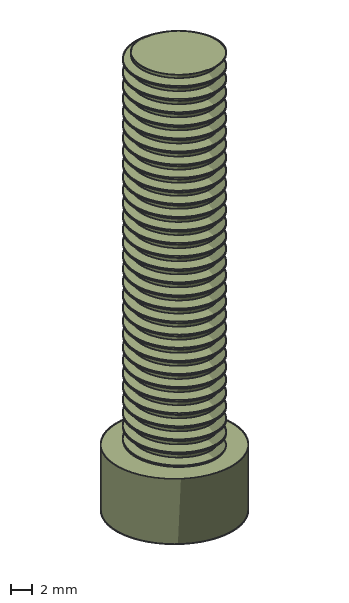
import cadquery as cq
import math

head_height = 6.83
head_diameter = 2 * head_height
thread_length = 6 * head_height
thread_pitch = head_height / 5
thread_diameter = 7 * thread_pitch

flank_angle = 30
crest_width = thread_pitch / 8
root_width = thread_pitch / 4
crest_radius = thread_diameter / 2
base_width = thread_pitch - root_width
thread_depth = (base_width - crest_width) / 2 / math.tan(math.radians(flank_angle))
root_radius = crest_radius - thread_depth

first_crest_height = thread_pitch / 8

ridge_overlap = 0.05 * thread_pitch

buried_turns = 1
overrun_turns = 2

total_height = head_height + thread_length


def make_head():
    return cq.Workplane("XY").circle(head_diameter / 2).extrude(head_height)


def make_core():
    return cq.Workplane("XY").circle(root_radius).extrude(total_height)


def make_ridge():
    """Helical ridge that starts inside the head and is cut flush with the tip."""
    start_height = head_height + first_crest_height - buried_turns * thread_pitch
    helix_height = thread_length + (buried_turns + overrun_turns) * thread_pitch
    inner_radius = root_radius - ridge_overlap
    inner_width = base_width + 2 * ridge_overlap * math.tan(math.radians(flank_angle))
    path = cq.Wire.makeHelix(thread_pitch, helix_height, root_radius, lefthand=True)
    ridge = (
        cq.Workplane("XZ")
        .polyline([
            (inner_radius, -inner_width / 2),
            (crest_radius, -crest_width / 2),
            (crest_radius, crest_width / 2),
            (inner_radius, inner_width / 2),
        ])
        .close()
        .sweep(cq.Workplane(path), isFrenet=True)
        .translate((0, 0, start_height))
    )
    envelope = cq.Workplane("XY").circle(head_diameter / 2).extrude(total_height)
    return ridge.intersect(envelope)


result = make_core().union(make_ridge()).union(make_head())